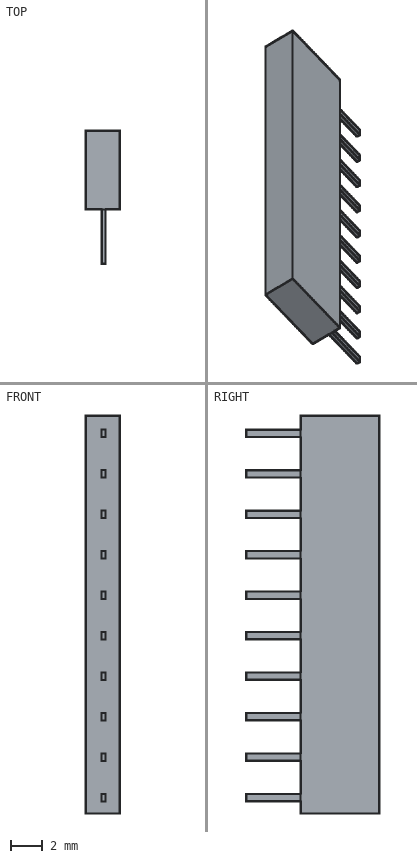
import cadquery as cq

body_width = 2.15
body_height = 25.0
overall_depth = 8.37

pin_count = 10
pin_row_span = 22.87
pin_pitch = pin_row_span / (pin_count - 1)
pin_width = 0.25
pin_height = 0.47
pin_length = 3.42
pin_offset_x = 0.05
pin_offset_z = -0.05

body_depth = overall_depth - pin_length


def make_body():
    return cq.Workplane("XY").box(body_width, body_depth, body_height)


def make_pins():
    return (
        cq.Workplane("XZ", origin=(pin_offset_x, -body_depth / 2, pin_offset_z))
        .rarray(0.25, pin_pitch, 1, pin_count)
        .rect(pin_width, pin_height)
        .extrude(pin_length)
    )


result = make_body().union(make_pins())